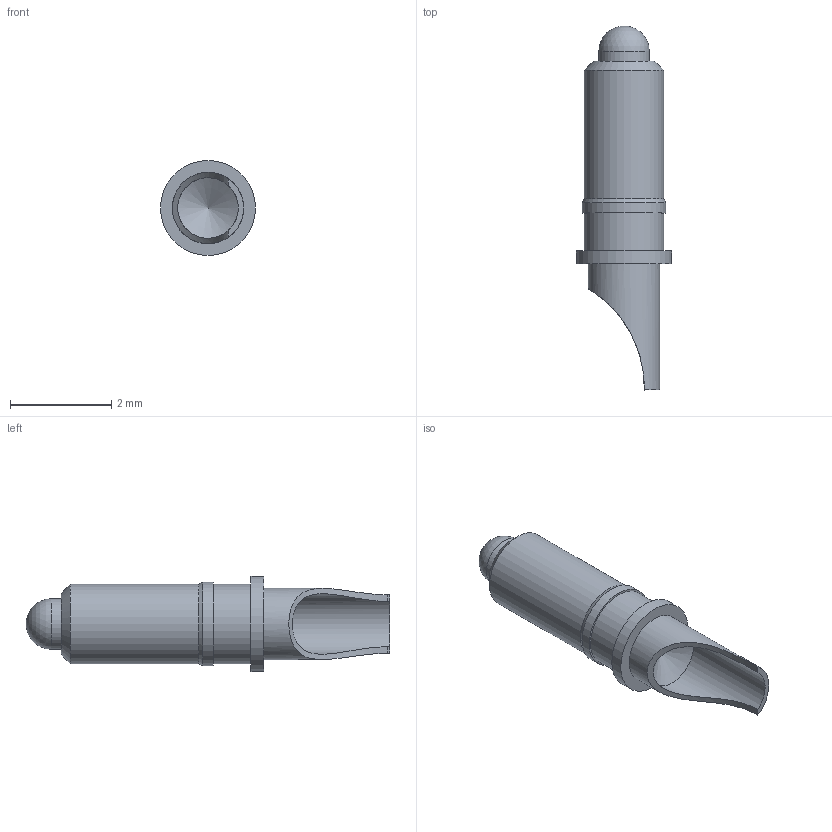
import cadquery as cq
import math


plunger_radius = 0.5
body_radius = 0.785
barb_radius = 0.825
flange_radius = 0.94
cup_radius = 0.705
bore_radius = 0.6

overall_length = 7.2
cup_length = 2.5
flange_thickness = 0.25
barb_offset = 0.75
barb_land = 0.2
barb_lead_in = 0.085
plunger_exposed = 0.7
shoulder_chamfer = 0.175

bore_depth = 2.0
drill_point_angle = 120
scoop_height = 2.0
scoop_straight = 0.05
lip_x = 0.4

flange_top = cup_length + flange_thickness
barb_bottom = flange_top + barb_offset
barb_top = barb_bottom + barb_land
barb_lead_top = barb_top + barb_lead_in
body_top = overall_length - plunger_exposed
dome_base = overall_length - plunger_radius


def turned_pin():
    """Solid of revolution: cup shank, flange, body with barb, and domed plunger."""
    dome_middle = plunger_radius * math.sqrt(0.5)
    profile = (
        cq.Workplane("XY")
        .lineTo(cup_radius, 0)
        .lineTo(cup_radius, cup_length)
        .lineTo(flange_radius, cup_length)
        .lineTo(flange_radius, flange_top)
        .lineTo(body_radius, flange_top)
        .lineTo(body_radius, barb_bottom)
        .lineTo(barb_radius, barb_bottom)
        .lineTo(barb_radius, barb_top)
        .lineTo(body_radius, barb_lead_top)
        .lineTo(body_radius, body_top - shoulder_chamfer)
        .lineTo(body_radius - shoulder_chamfer, body_top)
        .lineTo(plunger_radius, body_top)
        .lineTo(plunger_radius, dome_base)
        .threePointArc((dome_middle, dome_base + dome_middle), (0, overall_length))
        .close()
    )
    return profile.revolve(360, (0, 0, 0), (0, 1, 0))


def cup_bore():
    """Blind drilled hole with a conical bottom, entering from the cup end."""
    point_height = bore_radius / math.tan(math.radians(drill_point_angle / 2))
    profile = (
        cq.Workplane("XY")
        .lineTo(bore_radius, 0)
        .lineTo(bore_radius, bore_depth)
        .lineTo(0, bore_depth + point_height)
        .close()
    )
    return profile.revolve(360, (0, 0, 0), (0, 1, 0))


def scoop_cut():
    """Removes the -X side of the cup along an arc that ends tangent to a short straight lip."""
    run = lip_x + cup_radius
    rise = scoop_height - scoop_straight
    arc_radius = (run**2 + rise**2) / (2 * run)
    half_angle = math.asin(rise / arc_radius) / 2
    arc_middle = (
        lip_x - arc_radius * (1 - math.cos(half_angle)),
        scoop_straight + arc_radius * math.sin(half_angle),
    )
    outer_x = -flange_radius
    profile = (
        cq.Workplane("XY")
        .moveTo(outer_x, 0)
        .lineTo(lip_x, 0)
        .lineTo(lip_x, scoop_straight)
        .threePointArc(arc_middle, (-cup_radius, scoop_height))
        .lineTo(outer_x, scoop_height)
        .close()
    )
    return profile.extrude(flange_radius, both=True)


result = turned_pin().cut(cup_bore()).cut(scoop_cut())